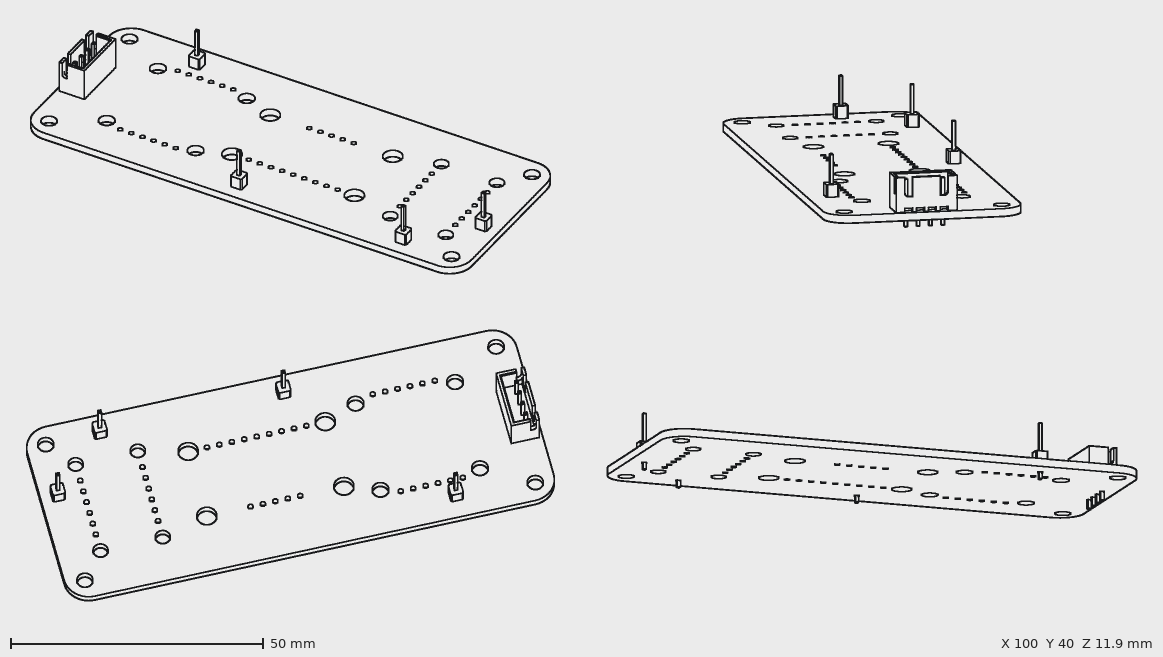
import cadquery as cq

PITCH = 2.54

BOARD_LENGTH = 100.0
BOARD_WIDTH = 40.0
BOARD_THICKNESS = 1.6
BOARD_CORNER_RADIUS = 5.0
CORNER_HOLE_DIAMETER = 3.2
CORNER_HOLE_INSET = 4.0
PIN_ROW_HOLE_DIAMETER = 1.02

LEFT_MODULE_X = -26.0
LEFT_MOUNT_DIAMETER = 3.3
LEFT_MOUNT_SPACING = 8 * PITCH
LEFT_ROW_SPACING = 9 * PITCH
LEFT_ROW_COUNT = 6

MIDDLE_MODULE_X = 5.0
MIDDLE_MOUNT_DIAMETER = 4.0
MIDDLE_MOUNT_SPACING = 28.0
MIDDLE_ROW_SPACING = 6 * PITCH
MIDDLE_TOP_ROW_COUNT = 5
MIDDLE_BOTTOM_ROW_COUNT = 9

RIGHT_MODULE_X = 35.0
RIGHT_MOUNT_DIAMETER = 3.0
RIGHT_MOUNT_SPACING = 8 * PITCH
RIGHT_ROW_SPACING = 5 * PITCH
RIGHT_ROW_COUNT = 6

HEADER_POSITIONS = [(-30.0, 15.0), (-2.55, -16.0), (35.0, -16.0), (46.5, -4.1)]
HEADER_SIZE = PITCH
HEADER_CHAMFER = HEADER_SIZE / 10
HEADER_HOLE_DIAMETER = 1.0
PIN_SIZE = 0.64
PIN_TIP_CHAMFER = PIN_SIZE / 4
HEADER_PIN_ABOVE_BLOCK = 6.0
HEADER_PIN_BELOW_TOP = 3.0

CONNECTOR_LEFT_X = -49.3
CONNECTOR_DEPTH = 5.75
CONNECTOR_WIDTH = 12.4
CONNECTOR_HEIGHT = 7.0
CONNECTOR_WALL = 0.8
CONNECTOR_FRONT_WALL = 0.65
CONNECTOR_LEAD_IN = 0.2
CONNECTOR_FLOOR = 2.0
CONTACT_COUNT = 4
CONTACT_PITCH = 2.5
CONTACT_SETBACK = 2.2
CONTACT_TOP = 6.4
CONTACT_BELOW_TOP = 3.4
CONTACT_HOLE_DIAMETER = 0.95
SIDE_SLOT_WIDTH = 1.1
SIDE_SLOT_DEPTH = 3.4
FRONT_SLOT_WIDTH = 1.6
FRONT_SLOT_DEPTH = 3.9
FRONT_SLOT_Y = 3.6
SLOT_CORNER_RADIUS = 0.8
FOOT_NOTCH_PITCH = 2.4
FOOT_NOTCH_WIDTH = 1.6
FOOT_NOTCH_HEIGHT = 0.8
FOOT_NOTCH_DEPTH = 1.6

BOARD_TOP = BOARD_THICKNESS
CONTACT_X = CONNECTOR_LEFT_X + CONTACT_SETBACK
CONNECTOR_TOP = BOARD_TOP + CONNECTOR_HEIGHT


def centred_row(count, pitch):
    """Offsets of evenly spaced places, centred on zero."""
    return [(i - (count - 1) / 2) * pitch for i in range(count)]


def rectangle_corners(centre_x, spacing_x, spacing_y):
    """Four places at the corners of a rectangle centred on Y = 0."""
    return [
        (centre_x + side_x * spacing_x / 2, side_y * spacing_y / 2)
        for side_x in (-1, 1)
        for side_y in (-1, 1)
    ]


def row_along_x(centre_x, y, count):
    return [(centre_x + offset, y) for offset in centred_row(count, PITCH)]


def row_along_y(x, count):
    return [(x, offset) for offset in centred_row(count, PITCH)]


CONTACT_POSITIONS = [(CONTACT_X, y) for y in centred_row(CONTACT_COUNT, CONTACT_PITCH)]


def box_between(x_range, y_range, z_range):
    """Box spanning the given (low, high) ranges."""
    spans = [high - low for low, high in (x_range, y_range, z_range)]
    corner = cq.Vector(x_range[0], y_range[0], z_range[0])
    return cq.Workplane(cq.Solid.makeBox(*spans, pnt=corner))


def square_pin(x, y, bottom, top):
    """Square pin with chamfered tips."""
    return (
        cq.Workplane("XY", origin=(x, y, bottom))
        .rect(PIN_SIZE, PIN_SIZE)
        .extrude(top - bottom)
        .faces("<Z or >Z")
        .chamfer(PIN_TIP_CHAMFER)
    )


def make_board():
    board = (
        cq.Workplane("XY")
        .rect(BOARD_LENGTH, BOARD_WIDTH)
        .extrude(BOARD_THICKNESS)
        .edges("|Z")
        .fillet(BOARD_CORNER_RADIUS)
    )
    corner_holes = rectangle_corners(
        0, BOARD_LENGTH - 2 * CORNER_HOLE_INSET, BOARD_WIDTH - 2 * CORNER_HOLE_INSET
    )
    left_mounts = rectangle_corners(LEFT_MODULE_X, LEFT_MOUNT_SPACING, LEFT_MOUNT_SPACING)
    middle_mounts = rectangle_corners(MIDDLE_MODULE_X, MIDDLE_MOUNT_SPACING, MIDDLE_ROW_SPACING)
    right_mounts = rectangle_corners(RIGHT_MODULE_X, RIGHT_ROW_SPACING, RIGHT_MOUNT_SPACING)
    pin_rows = (
        row_along_x(LEFT_MODULE_X, LEFT_ROW_SPACING / 2, LEFT_ROW_COUNT)
        + row_along_x(LEFT_MODULE_X, -LEFT_ROW_SPACING / 2, LEFT_ROW_COUNT)
        + row_along_x(MIDDLE_MODULE_X, MIDDLE_ROW_SPACING / 2, MIDDLE_TOP_ROW_COUNT)
        + row_along_x(MIDDLE_MODULE_X, -MIDDLE_ROW_SPACING / 2, MIDDLE_BOTTOM_ROW_COUNT)
        + row_along_y(RIGHT_MODULE_X - RIGHT_ROW_SPACING / 2, RIGHT_ROW_COUNT)
        + row_along_y(RIGHT_MODULE_X + RIGHT_ROW_SPACING / 2, RIGHT_ROW_COUNT)
    )
    hole_groups = [
        (CORNER_HOLE_DIAMETER, corner_holes),
        (LEFT_MOUNT_DIAMETER, left_mounts),
        (MIDDLE_MOUNT_DIAMETER, middle_mounts),
        (RIGHT_MOUNT_DIAMETER, right_mounts),
        (PIN_ROW_HOLE_DIAMETER, pin_rows),
        (HEADER_HOLE_DIAMETER, HEADER_POSITIONS),
        (CONTACT_HOLE_DIAMETER, CONTACT_POSITIONS),
    ]
    for diameter, places in hole_groups:
        drills = cq.Workplane("XY").pushPoints(places).circle(diameter / 2).extrude(BOARD_THICKNESS)
        board = board.cut(drills)
    return board


def make_header(x, y):
    """Chamfered plastic block standing on the board, with its pin through it."""
    block = (
        cq.Workplane("XY", origin=(x, y, BOARD_TOP))
        .rect(HEADER_SIZE, HEADER_SIZE)
        .extrude(HEADER_SIZE)
        .edges("|Z")
        .chamfer(HEADER_CHAMFER)
    )
    pin_top = BOARD_TOP + HEADER_SIZE + HEADER_PIN_ABOVE_BLOCK
    return block.union(square_pin(x, y, BOARD_TOP - HEADER_PIN_BELOW_TOP, pin_top))


def connector_shell():
    """Open-topped box with a lead-in chamfer on every wall but the -X one."""
    right_x = CONNECTOR_LEFT_X + CONNECTOR_DEPTH
    half_width = CONNECTOR_WIDTH / 2
    inside_left = CONNECTOR_LEFT_X + CONNECTOR_FRONT_WALL
    inside_half = half_width - CONNECTOR_WALL
    shell = box_between(
        (CONNECTOR_LEFT_X, right_x), (-half_width, half_width), (BOARD_TOP, CONNECTOR_TOP)
    )
    cavity = box_between(
        (inside_left, right_x - CONNECTOR_WALL),
        (-inside_half, inside_half),
        (BOARD_TOP + CONNECTOR_FLOOR, CONNECTOR_TOP),
    )
    lead_in_zone = cq.selectors.BoxSelector(
        (inside_left + CONNECTOR_LEAD_IN, -half_width + CONNECTOR_LEAD_IN, CONNECTOR_TOP - CONNECTOR_LEAD_IN),
        (right_x - CONNECTOR_LEAD_IN, half_width - CONNECTOR_LEAD_IN, CONNECTOR_TOP + CONNECTOR_LEAD_IN),
    )
    return shell.cut(cavity).edges(lead_in_zone).chamfer(CONNECTOR_LEAD_IN)


def side_slots():
    """Slot through both Y walls, just behind the -X wall, rounded at its lower -X corner."""
    left = CONNECTOR_LEFT_X + CONNECTOR_FRONT_WALL
    return box_between(
        (left, left + SIDE_SLOT_WIDTH),
        (-CONNECTOR_WIDTH / 2, CONNECTOR_WIDTH / 2),
        (CONNECTOR_TOP - SIDE_SLOT_DEPTH, CONNECTOR_TOP),
    ).edges("<X and <Z").fillet(SLOT_CORNER_RADIUS)


def front_slot(side):
    """Slot through the -X wall, rounded at its lower outer corner."""
    outer_edge = "<Z and >Y" if side > 0 else "<Z and <Y"
    centre_y = side * FRONT_SLOT_Y
    return box_between(
        (CONNECTOR_LEFT_X, CONNECTOR_LEFT_X + CONNECTOR_FRONT_WALL),
        (centre_y - FRONT_SLOT_WIDTH / 2, centre_y + FRONT_SLOT_WIDTH / 2),
        (CONNECTOR_TOP - FRONT_SLOT_DEPTH, CONNECTOR_TOP),
    ).edges(outer_edge).fillet(SLOT_CORNER_RADIUS)


def foot_notch(y):
    """Wedge-shaped recess at the foot of the -X wall, sloping down to the board."""
    return (
        cq.Workplane("XZ", origin=(CONNECTOR_LEFT_X, y, BOARD_TOP))
        .polyline([(0, 0), (FOOT_NOTCH_DEPTH, 0), (0, FOOT_NOTCH_HEIGHT)])
        .close()
        .extrude(FOOT_NOTCH_WIDTH / 2, both=True)
    )


def make_connector():
    connector = connector_shell().cut(side_slots())
    for side in (-1, 1):
        connector = connector.cut(front_slot(side))
    for y in centred_row(CONTACT_COUNT, FOOT_NOTCH_PITCH):
        connector = connector.cut(foot_notch(y))
    for x, y in CONTACT_POSITIONS:
        contact = square_pin(x, y, BOARD_TOP - CONTACT_BELOW_TOP, BOARD_TOP + CONTACT_TOP)
        connector = connector.union(contact)
    return connector


board = make_board()
connector = make_connector()
headers = [make_header(x, y) for x, y in HEADER_POSITIONS]

result = cq.Compound.makeCompound(
    [board.val(), connector.val(), *[header.val() for header in headers]]
)